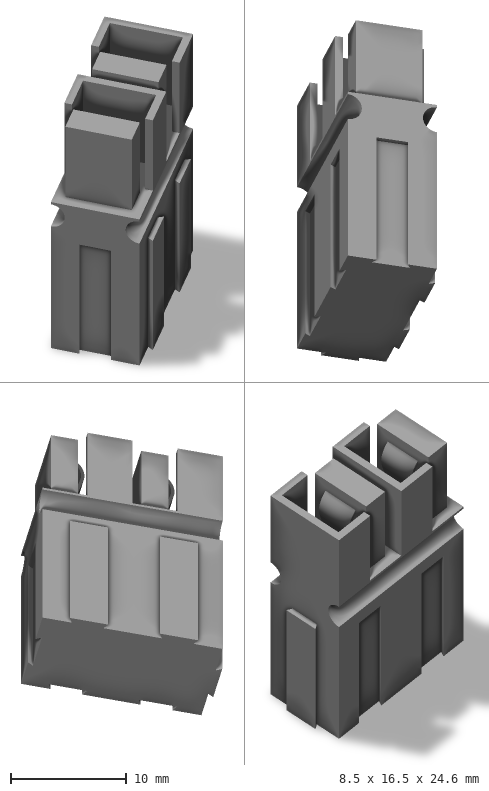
import cadquery as cq
import math

pole_count = 2

side = 8.0
ledge_z = 16.6
total_height = 24.6
half = side / 2

hood_depth = 4.0
hood_wall = 0.7

tongue_width = 6.0
tongue_thickness = 2.4
tongue_setback = 1.0
tongue_rear_y = -half + tongue_setback + tongue_thickness

finger_radius = 1.25
finger_z = 15.1

key_depth = 0.5
key_outer_width = 3.4
key_flank_angle = 30.0
key_height = 12.4
key_root_width = key_outer_width - 2 * key_depth * math.tan(math.radians(key_flank_angle))

strip_width = 3.5
strip_thickness = 0.3
strip_radius = 2.3
strip_crest_setback = 3.75
strip_crest_y = half - strip_crest_setback
strip_arc_z = 21.5
strip_leg_angle = 16.0


def dovetail(face_x):
    """Dovetail bar on an X face, widening towards +X."""
    root = key_root_width / 2
    tip = key_outer_width / 2
    return (
        cq.Workplane("XY")
        .polyline([
            (face_x, -root),
            (face_x + key_depth, -tip),
            (face_x + key_depth, tip),
            (face_x, root),
        ])
        .close()
        .extrude(key_height)
    )


def turned_to_y(bar):
    """Turn a bar from the X axis to the Y axis."""
    return bar.rotate((0, 0, 0), (0, 0, 1), 90)


def make_hood():
    height = total_height - ledge_z
    inner_depth = hood_depth - hood_wall
    outer = (
        cq.Workplane("XY", origin=(0, half - hood_depth / 2, ledge_z))
        .rect(side, hood_depth)
        .extrude(height)
    )
    cavity = (
        cq.Workplane("XY", origin=(0, half - hood_depth + inner_depth / 2, ledge_z))
        .rect(side - 2 * hood_wall, inner_depth)
        .extrude(height)
    )
    return outer.cut(cavity)


def make_tongue():
    return (
        cq.Workplane("XY", origin=(0, tongue_rear_y - tongue_thickness / 2, ledge_z))
        .rect(tongue_width, tongue_thickness)
        .extrude(total_height - ledge_z)
    )


def make_housing():
    body = cq.Workplane("XY").rect(side, side).extrude(ledge_z)
    body = body.union(make_hood()).union(make_tongue())

    finger_grooves = (
        cq.Workplane("XZ")
        .pushPoints([(-half, finger_z), (half, finger_z)])
        .circle(finger_radius)
        .extrude(half, both=True)
    )
    body = body.cut(finger_grooves)

    key = dovetail(half)
    slot = key.translate((-side, 0, 0))
    body = body.union(key).union(turned_to_y(key))
    return body.cut(slot).cut(turned_to_y(slot))


def make_contact():
    """Bowed strip whose two ends rest on the rear face of the tongue."""
    centre_y = strip_crest_y - strip_radius
    leg = math.radians(strip_leg_angle)

    def on_arc(radius, angle):
        return (centre_y + radius * math.cos(angle), strip_arc_z + radius * math.sin(angle))

    def tip_angle(radius):
        return math.acos((tongue_rear_y - centre_y) / radius)

    def leg_foot(radius):
        start_y, start_z = on_arc(radius, -leg)
        return (tongue_rear_y, start_z - (start_y - tongue_rear_y) / math.tan(leg))

    outer = strip_radius
    inner = strip_radius - strip_thickness
    return (
        cq.Workplane("YZ")
        .moveTo(*leg_foot(outer))
        .lineTo(*on_arc(outer, -leg))
        .threePointArc(on_arc(outer, 0), on_arc(outer, tip_angle(outer)))
        .lineTo(*on_arc(inner, tip_angle(inner)))
        .threePointArc(on_arc(inner, 0), on_arc(inner, -leg))
        .lineTo(*leg_foot(inner))
        .close()
        .extrude(strip_width / 2, both=True)
    )


housing = make_housing()
contact = make_contact()

solids = []
for index in range(pole_count):
    offset = (0, index * side, 0)
    solids.append(housing.translate(offset).val())
    solids.append(contact.translate(offset).val())

result = cq.Compound.makeCompound(solids)